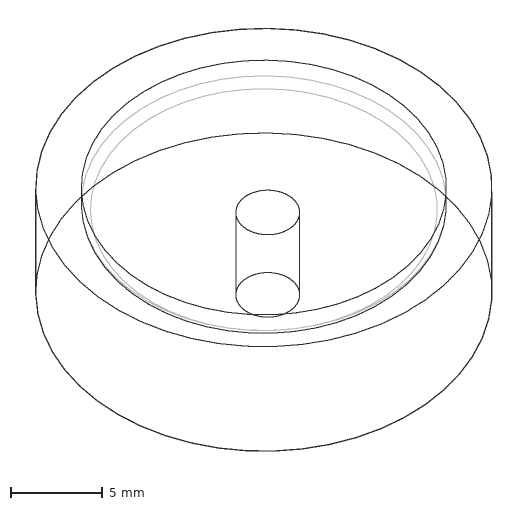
import cadquery as cq

body_diameter = 25.0
body_height = 8.0

recess_diameter = 20.0
recess_depth = 1.7
recess_corner_radius = 0.5

hole_diameter = 3.5
hole_offset_x = 0.3


def make_body():
    return cq.Workplane("XY").circle(body_diameter / 2).extrude(body_height)


def make_recess():
    recess_floor = body_height - recess_depth
    recess = cq.Workplane("XY").workplane(offset=recess_floor).circle(recess_diameter / 2).extrude(recess_depth)
    return recess.faces("<Z").edges().fillet(recess_corner_radius)


def make_hole():
    return cq.Workplane("XY").center(hole_offset_x, 0).circle(hole_diameter / 2).extrude(body_height)


result = make_body().cut(make_recess()).cut(make_hole())